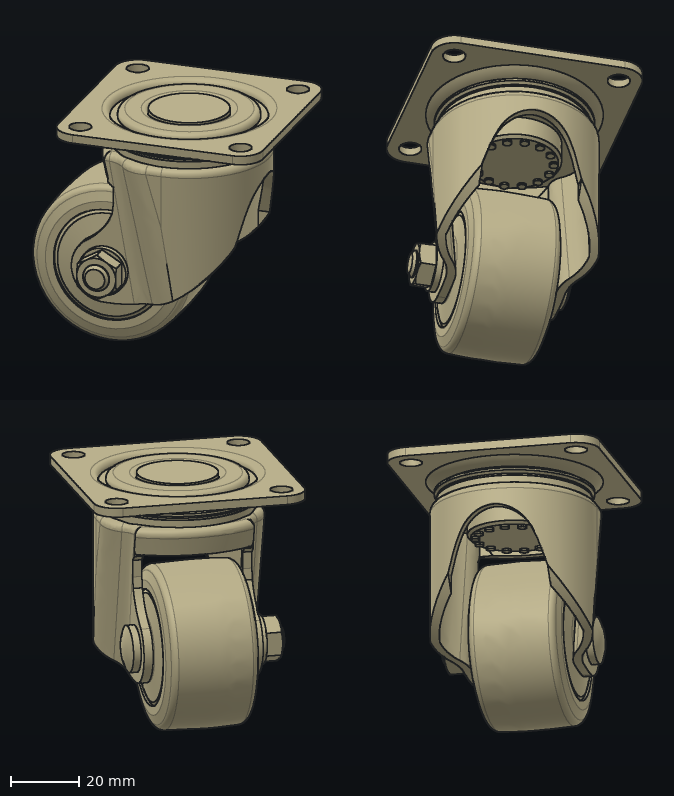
import cadquery as cq
import math


plate_side = 64.0
plate_thickness = 2.7
plate_corner_radius = 7.0
bolt_hole_radius = 3.3
bolt_hole_offset = 25.0
dish_bottom_z = -5.0
dish_outer_radius = 26.1
dish_middle_radius = 23.9
dish_middle_z = -4.3
dish_bottom_radius = 21.95
groove_outer_radius = 25.7
groove_inner_radius = 19.0
groove_depth = 2.4
groove_outer_round = 2.4
groove_inner_round = 2.1
kingpin_radius = 12.0
kingpin_hole_round = 2.15

wheel_radius = 25.0
overall_height = 72.0
axle_x = plate_side / 2 + wheel_radius - 77
axle_z = wheel_radius - overall_height

crown_top_z = -10.2
crown_radius = 24.9
crown_round = 2.3
sheet_thickness = 2.8
leg_half_width = 18.1
leg_end_radius = 10.3
leg_bottom_z = -61.6
leg_reach = 38.5
leg_root_x = -17.2
leg_root_z = -20.8
skirt_bottom_z = -18.55
skirt_bottom_reach = 23.8
skirt_curve_radius = 36.2
skirt_top_reach = 25.4
slope_inner_top_x = -18.95
slope_inner_bottom_x = -9.85
slope_outer_top_x = -5.5
slope_outer_bottom_x = 9.85
boss_radius = 13.85
boss_bottom_z = -19.95
boss_chamfer = 0.9
bump_count = 14
bump_circle_radius = 11.55
bump_radius = 1.3
bump_height = 0.6

neck_radius = 23.0
neck_top_z = -8.0
collar_radius = 22.8
ring_radius = 23.65
ring_top_radius = 22.1

axle_radius = 4.1
axle_end_y = -26.5
axle_end_chamfer = 1.0
bolt_head_radius = 7.0
bolt_head_rim = 2.3
bolt_head_height = 4.0
nut_flange_radius = 7.4
nut_flange_thickness = 2.0
nut_end_y = -25.2
spot_face_radius = 7.5
nut_corner_radius = 7.0
nut_chamfer = 0.9


def make_plate():
    """Square plate with a pressed dish, an annular groove and a rounded kingpin hole."""
    plate = (
        cq.Workplane("XY")
        .rect(plate_side, plate_side)
        .extrude(-plate_thickness)
        .edges("|Z")
        .fillet(plate_corner_radius)
    )
    dish = (
        cq.Workplane("XZ")
        .moveTo(0, -plate_thickness)
        .lineTo(dish_outer_radius, -plate_thickness)
        .threePointArc((dish_middle_radius, dish_middle_z), (dish_bottom_radius, dish_bottom_z))
        .lineTo(0, dish_bottom_z)
        .close()
        .revolve(360, (0, 0), (0, 1))
    )
    diagonal = math.sqrt(0.5)
    outer_floor = groove_outer_radius - groove_outer_round
    inner_floor = groove_inner_radius + groove_inner_round
    groove = (
        cq.Workplane("XZ")
        .moveTo(groove_outer_radius, 0)
        .threePointArc(
            (
                groove_outer_radius - groove_outer_round * diagonal,
                groove_outer_round * diagonal - groove_depth,
            ),
            (outer_floor, -groove_depth),
        )
        .lineTo(inner_floor, -groove_depth)
        .lineTo(inner_floor, -groove_inner_round)
        .threePointArc(
            (
                groove_inner_radius + groove_inner_round * diagonal,
                groove_inner_round * (diagonal - 1),
            ),
            (groove_inner_radius, 0),
        )
        .close()
        .revolve(360, (0, 0), (0, 1))
    )
    kingpin_hole = (
        cq.Workplane("XZ")
        .lineTo(kingpin_radius + kingpin_hole_round, 0)
        .threePointArc(
            (
                kingpin_radius + kingpin_hole_round * (1 - diagonal),
                kingpin_hole_round * (diagonal - 1),
            ),
            (kingpin_radius, -kingpin_hole_round),
        )
        .lineTo(kingpin_radius, dish_bottom_z)
        .lineTo(0, dish_bottom_z)
        .close()
        .revolve(360, (0, 0), (0, 1))
    )
    bolt_holes = (
        cq.Workplane("XY")
        .rect(2 * bolt_hole_offset, 2 * bolt_hole_offset, forConstruction=True)
        .vertices()
        .circle(bolt_hole_radius)
        .extrude(-plate_thickness)
    )
    return plate.union(dish).cut(groove).cut(kingpin_hole).cut(bolt_holes)


def skirt_disc(inset, top_z):
    """Large disc whose tapered -X edge is the gently curved skirt below the crown."""
    axis_x = skirt_curve_radius - skirt_top_reach
    return (
        cq.Workplane("XZ")
        .moveTo(axis_x, top_z)
        .lineTo(inset - skirt_top_reach, top_z)
        .lineTo(inset - skirt_bottom_reach, skirt_bottom_z)
        .lineTo(axis_x, skirt_bottom_z)
        .close()
        .revolve(360, (axis_x, 0), (axis_x, 1))
    )


def fork_block(inset, top_z):
    """Fork volume before its side outline is cut, shrunk by `inset` on its vertical faces."""
    radius = crown_radius - inset
    half_width = leg_half_width - inset
    height = top_z - leg_bottom_z

    block = cq.Workplane("XY").workplane(offset=leg_bottom_z).circle(radius).extrude(height)
    behind_skirt = cq.Workplane("XY").box(
        leg_reach, 2 * radius, height, centered=(False, True, False)
    )
    block = block.cut(behind_skirt.translate((slope_inner_top_x - leg_reach, 0, leg_bottom_z)))
    upper_flanks = cq.Workplane("XY").box(
        -slope_inner_top_x, 2 * radius, height, centered=(False, True, False)
    )
    block = block.union(upper_flanks.translate((slope_inner_top_x, 0, leg_bottom_z)))
    lower_flanks = cq.Workplane("XY").box(
        leg_reach, 2 * radius, leg_root_z - leg_bottom_z, centered=(False, True, False)
    )
    block = block.union(lower_flanks.translate((-leg_reach, 0, leg_bottom_z)))
    skirt_sides = cq.Workplane("XY").box(
        leg_reach, 2 * half_width, height, centered=(False, True, False)
    )
    skirt = skirt_disc(inset, top_z).intersect(skirt_sides.translate((-leg_reach, 0, leg_bottom_z)))
    block = block.union(skirt)

    bend_share = 0.36

    def add_step_outline(plane, inner_x, outer_x):
        """Draws the area outside one leg: flat leg, hollow bend, rounded bend to full width."""
        run = outer_x - inner_x
        rise = radius - half_width
        bend_angle = 2 * math.atan2(rise, run)
        bend_x = inner_x + bend_share * run
        bend_y = half_width + bend_share * rise
        quarter_sag = math.tan(bend_angle / 4)
        hollow_middle = (
            inner_x + bend_share * run * (1 + rise / run * quarter_sag) / 2,
            half_width + bend_share * (rise - run * quarter_sag) / 2,
        )
        rounded_middle = (
            outer_x - (1 - bend_share) * run * (1 + rise / run * quarter_sag) / 2,
            radius - (1 - bend_share) * (rise - run * quarter_sag) / 2,
        )
        return (
            plane.moveTo(-leg_reach, half_width)
            .lineTo(inner_x, half_width)
            .threePointArc(hollow_middle, (bend_x, bend_y))
            .threePointArc(rounded_middle, (outer_x, radius))
            .lineTo(outer_x, radius + leg_half_width)
            .lineTo(-leg_reach, radius + leg_half_width)
            .close()
        )

    leg_foot = cq.Workplane("XY").workplane(offset=leg_bottom_z)
    step = add_step_outline(leg_foot, slope_inner_bottom_x, slope_outer_bottom_x)
    step = step.workplane(offset=crown_top_z - leg_bottom_z)
    step = add_step_outline(step, slope_inner_top_x, slope_outer_top_x).loft(ruled=True)
    return block.cut(step).cut(step.mirror("XZ"))


def fork_side_outline():
    """Solid prism along Y with the side outline of the fork."""
    leg_end_bottom = axle_z - leg_end_radius
    leg_end_angle = math.radians(130)
    leg_end_top = (
        axle_x + leg_end_radius * math.cos(leg_end_angle),
        axle_z + leg_end_radius * math.sin(leg_end_angle),
    )
    depth = 2 * crown_radius + 1.55
    return (
        cq.Workplane("XZ")
        .moveTo(crown_radius, crown_top_z)
        .lineTo(crown_radius, -16.95)
        .lineTo(19.8, -35.8)
        .threePointArc((5.2, -50.6), (axle_x, leg_end_bottom))
        .threePointArc((axle_x - leg_end_radius, axle_z), leg_end_top)
        .threePointArc((-20.4, -33.9), (-17.6, -29.25))
        .lineTo(leg_root_x, -25.8)
        .lineTo(leg_root_x, leg_root_z)
        .lineTo(-19.55, skirt_bottom_z)
        .lineTo(-skirt_top_reach, skirt_bottom_z)
        .lineTo(-skirt_top_reach, crown_top_z)
        .close()
        .extrude(depth / 2, both=True)
    )


def back_arch():
    """Arched opening through the +X wall between the legs."""
    foot_y, foot_z = 15.1, -35.8
    wall_x = 15.4
    return (
        cq.Workplane("YZ").workplane(offset=wall_x)
        .moveTo(-foot_y, leg_bottom_z)
        .lineTo(-foot_y, foot_z)
        .spline(
            [(-11.7, -26.2), (-8.0, -20.6), (0, -17.3), (8.0, -20.6), (11.7, -26.2), (foot_y, foot_z)],
            includeCurrent=True,
        )
        .lineTo(foot_y, leg_bottom_z)
        .close()
        .extrude(crown_radius)
    )


def leg_spot_faces():
    """Round seats on the outer faces of the legs for the bolt head and the nut flange."""
    seat = cq.Workplane("XZ").workplane(offset=leg_half_width).circle(spot_face_radius)
    seat = place_on_axle(seat.extrude(leg_half_width))
    return seat.union(seat.mirror("XZ"))


def make_fork():
    """Pressed fork with its two legs, swivel ring, kingpin and the boss below the crown."""
    outside = fork_block(0, crown_top_z).faces(">Z").edges().fillet(crown_round)
    cavity_top_z = crown_top_z - sheet_thickness
    cavity = fork_block(sheet_thickness, cavity_top_z)
    fork = outside.cut(cavity).intersect(fork_side_outline())
    fork = fork.cut(leg_spot_faces()).cut(back_arch())

    swivel_ring = (
        cq.Workplane("XZ")
        .moveTo(0, cavity_top_z)
        .lineTo(ring_top_radius, cavity_top_z)
        .lineTo(neck_radius, crown_top_z - 0.8)
        .lineTo(neck_radius, neck_top_z)
        .lineTo(collar_radius, neck_top_z)
        .lineTo(collar_radius, -7.4)
        .lineTo(ring_radius, -6.6)
        .lineTo(ring_radius, -5.85)
        .lineTo(ring_top_radius, -5.5)
        .lineTo(ring_top_radius, dish_bottom_z)
        .lineTo(kingpin_radius, dish_bottom_z)
        .lineTo(kingpin_radius, 0)
        .lineTo(0, 0)
        .close()
        .revolve(360, (0, 0), (0, 1))
    )
    boss = (
        cq.Workplane("XY").workplane(offset=boss_bottom_z).circle(boss_radius)
        .extrude(cavity_top_z - boss_bottom_z)
        .faces("<Z")
        .chamfer(boss_chamfer)
    )
    bumps = (
        cq.Workplane("XY").workplane(offset=boss_bottom_z)
        .polarArray(bump_circle_radius, 0, 360, bump_count)
        .circle(bump_radius)
        .extrude(-bump_height)
    )
    return fork.union(swivel_ring).union(boss).union(bumps).cut(axle_cylinder())


def place_on_axle(body):
    """Moves a body built around the Y axis onto the wheel axle."""
    return body.translate((axle_x, 0, axle_z))


def axle_cylinder():
    """Cylinder of the axle's radius across the whole caster."""
    cylinder = cq.Workplane("XZ").circle(axle_radius).extrude(plate_side / 2, both=True)
    return place_on_axle(cylinder)


def make_wheel():
    """Wheel with a crowned tread, rounded shoulders, recessed side rings and a raised hub."""
    tread_edge_radius = 24.65
    tread_half_width = 11.3
    half_profile = [
        (22.9, 13.2),
        (19.95, 14.1),
        (17.3, 14.1),
        (17.3, 13.25),
        (16.2, 13.85),
        (10.0, 14.85),
        (7.4, leg_half_width - sheet_thickness),
        (axle_radius, leg_half_width - sheet_thickness),
    ]
    mirrored_profile = [(radius, -y) for radius, y in reversed(half_profile)]
    shoulder_middle = (24.0, 12.55)
    wheel = (
        cq.Workplane("XY")
        .moveTo(tread_edge_radius, -tread_half_width)
        .threePointArc((wheel_radius, 0), (tread_edge_radius, tread_half_width))
        .threePointArc(shoulder_middle, half_profile[0])
        .polyline(half_profile[1:] + mirrored_profile, includeCurrent=True)
        .threePointArc((shoulder_middle[0], -shoulder_middle[1]), (tread_edge_radius, -tread_half_width))
        .close()
        .revolve(360, (0, 0), (0, 1))
    )
    return place_on_axle(wheel)


def make_axle_bolt():
    """Axle bolt with a domed round head on the +Y leg and a chamfered end past the nut."""
    rim_y = leg_half_width + bolt_head_rim
    top_y = leg_half_width + bolt_head_height
    dome_rise = bolt_head_height - bolt_head_rim
    sphere_radius = (bolt_head_radius**2 + dome_rise**2) / (2 * dome_rise)
    dome_angle = math.asin(bolt_head_radius / sphere_radius) / 2
    dome_middle = (
        sphere_radius * math.sin(dome_angle),
        top_y - sphere_radius * (1 - math.cos(dome_angle)),
    )
    bolt = (
        cq.Workplane("XY")
        .moveTo(0, axle_end_y)
        .lineTo(axle_radius - axle_end_chamfer, axle_end_y)
        .lineTo(axle_radius, axle_end_y + axle_end_chamfer)
        .lineTo(axle_radius, leg_half_width)
        .lineTo(bolt_head_radius, leg_half_width)
        .lineTo(bolt_head_radius, rim_y)
        .threePointArc(dome_middle, (0, top_y))
        .close()
        .revolve(360, (0, 0), (0, 1))
    )
    return place_on_axle(bolt)


def make_nut():
    """Flanged hexagon nut against the -Y leg, two corners up and down, outer corners chamfered."""
    flange_y = -leg_half_width - nut_flange_thickness
    flange = (
        cq.Workplane("XZ").workplane(offset=leg_half_width).circle(nut_flange_radius)
        .extrude(nut_flange_thickness)
    )
    hexagon = (
        cq.Workplane("XZ").workplane(offset=-flange_y)
        .polygon(6, 2 * nut_corner_radius)
        .extrude(flange_y - nut_end_y)
        .rotate((0, 0, 0), (0, 1, 0), 90)
    )
    chamfer_cone = (
        cq.Workplane("XZ").workplane(offset=-flange_y)
        .circle(nut_corner_radius)
        .extrude(flange_y - nut_end_y)
        .faces("<Y")
        .chamfer(nut_chamfer / 2, nut_chamfer)
    )
    nut = flange.union(hexagon.intersect(chamfer_cone))
    return place_on_axle(nut).cut(axle_cylinder())


plate = make_plate()
fork = make_fork()
wheel = make_wheel()
axle_bolt = make_axle_bolt()
nut = make_nut()

result = cq.Compound.makeCompound([plate.val(), fork.val(), wheel.val(), axle_bolt.val(), nut.val()])